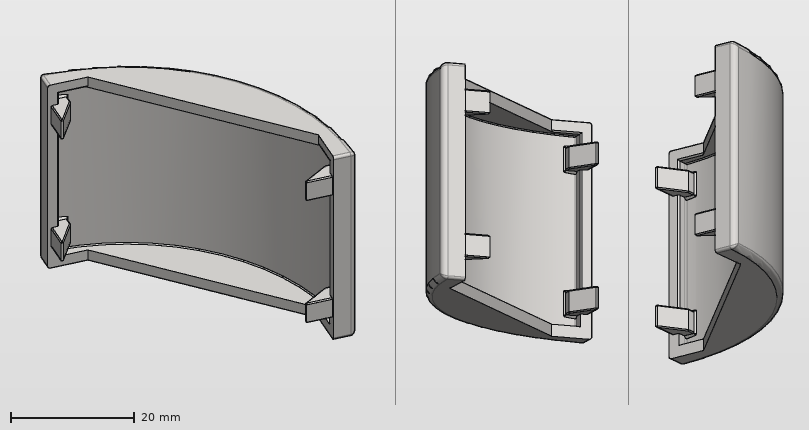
import cadquery as cq
import math

SIZE = 40.0
HEIGHT = 36.0
RIM = 4.0
RIM_LENGTH = 7.0
CURVE_FILLET = 1.0
END_FILLET = 0.48

WALL = 2.0
CAVITY_FILLET = 0.2
MOUTH_BEVEL = 0.28

CLIP_WIDTH = 3.85
CLIP_INSET = 4.08
CLIP_REACH = 4.5
CLIP_BACK = 0.6
CLIP_FRONT = 4.0
CLIP_TIP = 0.4
CLIP_BEVEL = 0.2
FOOT_FLARE = 0.28

BEVEL_ANGLE = 45
RIM_LEVEL = SIZE - RIM
CHORD_CORNER = SIZE - RIM_LENGTH
CLIP_BOTTOMS = (CLIP_INSET, HEIGHT - CLIP_INSET - CLIP_WIDTH)


def arc_middle(radius):
    """Middle of the quarter arc of this radius."""
    offset = radius * math.sqrt(0.5)
    return (SIZE - offset, offset)


def skin_height(x):
    """Y of the inner skin surface at a given X."""
    return math.sqrt((SIZE - WALL) ** 2 - (SIZE - x) ** 2)


def swap_ends(solid):
    """Reflect a feature of the +X end into the matching feature of the -Y end."""
    turned = solid.rotate((0, SIZE, 0), (SIZE, 0, 0), 180)
    return turned.mirror("XY")


def outer_body():
    """Quarter round closed by two rims and a sloping chord, rounded outside."""
    body = (
        cq.Workplane("XY")
        .moveTo(0, 0)
        .threePointArc(arc_middle(SIZE), (SIZE, SIZE))
        .lineTo(SIZE, RIM_LEVEL)
        .lineTo(CHORD_CORNER, RIM_LEVEL)
        .lineTo(RIM, RIM_LENGTH)
        .lineTo(RIM, 0)
        .close()
        .extrude(HEIGHT)
    )
    curved_face_edges = body.edges("%CIRCLE").add(body.edges("|Z and (<X or >Y)"))
    body = curved_face_edges.fillet(CURVE_FILLET)
    return body.edges("(<Y or >X) and (<Z or >Z)").fillet(END_FILLET)


def cavity():
    """Hollow behind the skin, open through the chord and both rims."""
    wall_x = SIZE - WALL
    hollow = (
        cq.Workplane("XY", origin=(0, 0, WALL))
        .moveTo(SIZE - skin_height(wall_x), WALL)
        .threePointArc(arc_middle(wall_x), (wall_x, skin_height(wall_x)))
        .lineTo(wall_x, WALL)
        .close()
        .extrude(HEIGHT - 2 * WALL)
    )
    arc_ends = hollow.edges("|Z").edges("<X or >Y")
    return hollow.edges("%CIRCLE").add(arc_ends).fillet(CAVITY_FILLET)


def mouth_bevel():
    """Tapered cutter for the mouth near the +X end, from the lower clip to the top."""
    low = CLIP_INSET + CLIP_WIDTH / 2
    high = HEIGHT - WALL + MOUTH_BEVEL
    end = SIZE - WALL + MOUTH_BEVEL
    return (
        cq.Workplane("XZ", origin=(0, RIM_LEVEL, 0))
        .moveTo(CHORD_CORNER, low)
        .lineTo(end, low)
        .lineTo(end, high)
        .lineTo(CHORD_CORNER, high)
        .close()
        .extrude(-MOUTH_BEVEL, taper=BEVEL_ANGLE)
    )


def clip(bottom):
    """Wedge hook on the rim near the +X end, rooted in the skin."""
    root = SIZE - WALL / 2
    back = SIZE - CLIP_BACK
    front = SIZE - CLIP_FRONT
    tip = RIM_LEVEL - CLIP_REACH
    hook = (
        cq.Workplane("XY", origin=(0, 0, bottom))
        .moveTo(front, root)
        .lineTo(front, RIM_LEVEL)
        .lineTo(back - CLIP_TIP, tip)
        .lineTo(back, tip)
        .lineTo(back, root)
        .close()
        .extrude(CLIP_WIDTH)
        .faces("<Z or >Z")
        .chamfer(CLIP_BEVEL)
    )
    flare_start = skin_height(front) - FOOT_FLARE
    foot = (
        cq.Workplane("XZ", origin=(0, flare_start, bottom))
        .moveTo(front, 0)
        .lineTo(back, 0)
        .lineTo(back, CLIP_WIDTH)
        .lineTo(front, CLIP_WIDTH)
        .close()
        .extrude(flare_start - root, taper=-BEVEL_ANGLE)
    )
    end_trim = cq.Workplane("XY").box(back, SIZE, HEIGHT, centered=False)
    return hook.union(foot.intersect(end_trim))


result = outer_body().cut(cavity())
bevel = mouth_bevel()
result = result.cut(bevel).cut(swap_ends(bevel))
for clip_bottom in CLIP_BOTTOMS:
    hook = clip(clip_bottom)
    result = result.union(hook).union(swap_ends(hook))